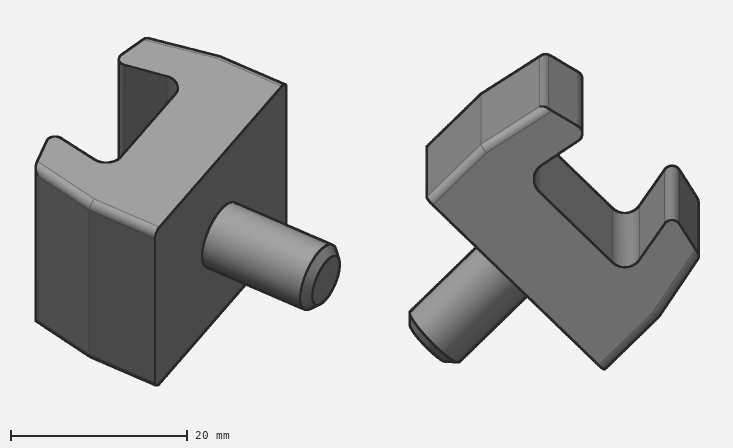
import cadquery as cq

total_length = 32.17
block_length = 18.18
block_width = 28.5
block_height = 25.0

half_width = block_width / 2
knee_x = 9.45
shoulder_x = 1.1
shoulder_y = 12.5
hook_x = -0.32
hook_y = 6.6
pocket_floor_x = 8.55
pocket_corner_y = 8.27

edge_radius = 1.0
pocket_radius = 2 * edge_radius

stud_diameter = 8.0
stud_chamfer = 1.0


def at_corner(x, y):
    """Select the upright edges at a mirrored pair of outline corners."""
    reach = 0.03
    selector = None
    for side in (-1, 1):
        box = cq.selectors.BoxSelector(
            (x - reach, side * y - reach, -reach),
            (x + reach, side * y + reach, reach),
        )
        selector = box if selector is None else selector + box
    return selector


def make_block():
    """Extrude the jaw outline and round its corners and outer rims."""
    upper_half = [
        (block_length, half_width),
        (knee_x, half_width),
        (shoulder_x, shoulder_y),
        (hook_x, hook_y),
        (pocket_floor_x, pocket_corner_y),
    ]
    lower_half = [(x, -y) for x, y in reversed(upper_half)]
    block = (
        cq.Workplane("XY")
        .polyline(upper_half + lower_half)
        .close()
        .extrude(block_height / 2, both=True)
    )
    block = block.edges(at_corner(pocket_floor_x, pocket_corner_y)).fillet(pocket_radius)
    block = block.edges(at_corner(hook_x, hook_y)).fillet(edge_radius)

    rims = []
    for edge in block.faces("|Z").edges().vals():
        middle = edge.Center()
        on_flank = abs(middle.y) > shoulder_y and middle.x < block_length - edge_radius
        if on_flank:
            rims.append(edge)
    shoulders = block.edges(at_corner(shoulder_x, shoulder_y)).vals()
    return block.newObject(rims + shoulders).fillet(edge_radius)


def make_stud():
    """Round stud on the back face with a chamfered end."""
    return (
        cq.Workplane("YZ", origin=(block_length, 0, 0))
        .circle(stud_diameter / 2)
        .extrude(total_length - block_length)
        .faces(">X")
        .chamfer(stud_chamfer)
    )


result = make_block().union(make_stud())